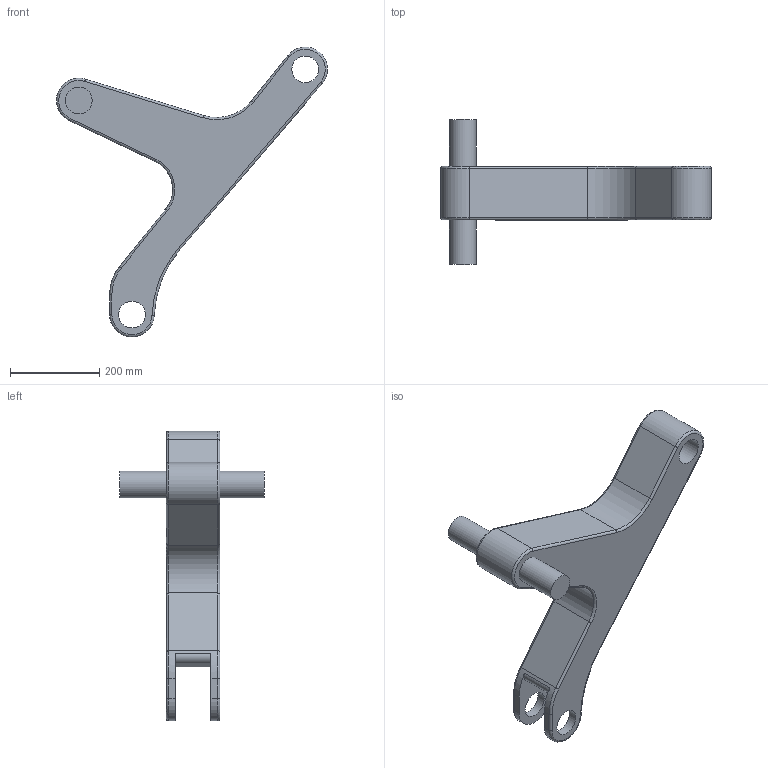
import cadquery as cq
import math

BOSS_RADIUS = 50.0
FORK_CENTER = (0.0, 0.0)
PIN_CENTER = (-119.15, 480.0)
EYE_CENTER = (388.5, 549.72)

PLATE_THICKNESS = 120.0
EDGE_FILLET = 5.0

PIN_ARM_TOP_ANGLE = -17.1
PIN_ARM_BOTTOM_ANGLE = -25.4
MAIN_ARM_UPPER_ANGLE = 51.3
MAIN_ARM_LOWER_ANGLE = 49.4
FORK_SIDE_ANGLE = 90.0

FORK_BEND_HEIGHT = 79.7

CROTCH_TOP_RADIUS = 100.0
CROTCH_BOTTOM_RADIUS = 70.0
FORK_OUTER_BEND_RADIUS = 100.0
FORK_INNER_BEND_RADIUS = 240.0

BORE_DIAMETER = 60.0
PIN_DIAMETER = 60.0
PIN_FRONT_REACH = 100.0
PIN_BACK_REACH = 105.0

SLOT_WIDTH = 80.0
SLOT_END_RADIUS = 80.0
WEB_LEFT_FILLET = 15.0
WEB_RIGHT_FILLET = 30.0


def heading(angle):
    """Unit vector at an angle in degrees from +X."""
    return math.cos(math.radians(angle)), math.sin(math.radians(angle))


def offset(point, direction, distance):
    return point[0] + direction[0] * distance, point[1] + direction[1] * distance


def boss_tangent(center, angle, side):
    """Point where a line at this heading touches a boss; side +1 is its left, -1 its right."""
    return offset(center, heading(angle + 90), side * BOSS_RADIUS)


def bend(point_a, angle_a, point_b, angle_b, radius):
    """Start, middle and end of the arc that rounds the corner of two lines.

    Each line is a point and its heading in the direction of travel.
    """
    dir_a = heading(angle_a)
    dir_b = heading(angle_b)
    cross = dir_a[0] * dir_b[1] - dir_a[1] * dir_b[0]
    gap = (point_b[0] - point_a[0], point_b[1] - point_a[1])
    corner = offset(point_a, dir_a, (gap[0] * dir_b[1] - gap[1] * dir_b[0]) / cross)
    half_turn = math.radians(abs(angle_b - angle_a)) / 2
    setback = radius * math.tan(half_turn)
    sagitta = radius / math.cos(half_turn) - radius
    inward = heading((angle_a + angle_b) / 2 + math.copysign(90, cross))
    return offset(corner, dir_a, -setback), offset(corner, inward, sagitta), offset(corner, dir_b, setback)


def boss_blend(line_point, line_angle, boss_center, radius):
    """Start, middle and end of the arc from a line to the outside of a boss, tangent to both.

    The line heads up and to the right, and the arc curves away on its right side.
    """
    along = heading(line_angle)
    right = heading(line_angle - 90)
    gap = (line_point[0] - boss_center[0], line_point[1] - boss_center[1])
    across_reach = gap[0] * right[0] + gap[1] * right[1] + radius
    along_reach = math.sqrt((BOSS_RADIUS + radius) ** 2 - across_reach**2)
    arc_center = offset(offset(boss_center, right, across_reach), along, along_reach)
    line_end_angle = line_angle + 90
    boss_end_angle = math.degrees(
        math.atan2(arc_center[1] - boss_center[1], arc_center[0] - boss_center[0])
    ) + 180
    angles = (line_end_angle, (line_end_angle + boss_end_angle) / 2, boss_end_angle)
    return [offset(arc_center, heading(angle), radius) for angle in angles]


def plate_outline():
    """Closed Y-shaped outline, clockwise from the left side of the fork boss."""
    fork_left = boss_tangent(FORK_CENTER, FORK_SIDE_ANGLE, 1)
    pin_bottom = boss_tangent(PIN_CENTER, PIN_ARM_BOTTOM_ANGLE, -1)
    pin_top = boss_tangent(PIN_CENTER, PIN_ARM_TOP_ANGLE, 1)
    eye_left = boss_tangent(EYE_CENTER, MAIN_ARM_UPPER_ANGLE, 1)
    eye_right = boss_tangent(EYE_CENTER, MAIN_ARM_LOWER_ANGLE, -1)
    fork_bend_corner = offset(fork_left, heading(FORK_SIDE_ANGLE), FORK_BEND_HEIGHT)

    fork_outer = bend(
        fork_left, FORK_SIDE_ANGLE, fork_bend_corner, MAIN_ARM_UPPER_ANGLE, FORK_OUTER_BEND_RADIUS
    )
    crotch_bottom = bend(
        fork_bend_corner, MAIN_ARM_UPPER_ANGLE,
        pin_bottom, PIN_ARM_BOTTOM_ANGLE + 180, CROTCH_BOTTOM_RADIUS,
    )
    crotch_top = bend(
        pin_top, PIN_ARM_TOP_ANGLE, eye_left, MAIN_ARM_UPPER_ANGLE, CROTCH_TOP_RADIUS
    )
    fork_inner = boss_blend(eye_right, MAIN_ARM_LOWER_ANGLE, FORK_CENTER, FORK_INNER_BEND_RADIUS)
    pin_tip = offset(PIN_CENTER, heading(180), BOSS_RADIUS)
    eye_tip = offset(EYE_CENTER, heading(MAIN_ARM_UPPER_ANGLE), BOSS_RADIUS)
    fork_tip = offset(FORK_CENTER, heading(-FORK_SIDE_ANGLE), BOSS_RADIUS)

    return (
        cq.Workplane("XZ")
        .moveTo(*fork_left)
        .lineTo(*fork_outer[0])
        .threePointArc(*fork_outer[1:])
        .lineTo(*crotch_bottom[0])
        .threePointArc(*crotch_bottom[1:])
        .lineTo(*pin_bottom)
        .threePointArc(pin_tip, pin_top)
        .lineTo(*crotch_top[0])
        .threePointArc(*crotch_top[1:])
        .lineTo(*eye_left)
        .threePointArc(eye_tip, eye_right)
        .lineTo(*fork_inner[0])
        .threePointArc(*fork_inner[1:])
        .threePointArc(fork_tip, fork_left)
        .close()
    )


def make_plate():
    plate = plate_outline().extrude(PLATE_THICKNESS / 2, both=True)
    return plate.faces("<Y or >Y").edges().fillet(EDGE_FILLET)


def cylinder_along_y(center, diameter, y_start, y_end):
    profile = cq.Workplane("XZ", origin=(0, y_start, 0)).center(*center).circle(diameter / 2)
    return profile.extrude(y_start - y_end)


def cut_fork_slot(plate):
    """Open the slot between the two cheeks of the fork, leaving a web with a curved, rounded end.

    The core of the plate, as thick as the slot is wide, is swapped for one that stops short of
    the fork pivot.
    """
    core = plate_outline().extrude(SLOT_WIDTH / 2, both=True)
    clearance = cylinder_along_y(FORK_CENTER, 2 * SLOT_END_RADIUS, -SLOT_WIDTH / 2, SLOT_WIDTH / 2)
    web = core.cut(clearance)
    web = round_web_edge(web, -1, WEB_LEFT_FILLET)
    web = round_web_edge(web, 1, WEB_RIGHT_FILLET)
    return plate.cut(core).union(web)


def round_web_edge(web, side, radius):
    """Round the edge at one side of the web end; side -1 is left, +1 is right."""
    near_edge = (FORK_CENTER[0] + side * BOSS_RADIUS, 0, FORK_CENTER[1] + BOSS_RADIUS)
    return web.edges("|Y").edges(cq.NearestToPointSelector(near_edge)).fillet(radius)


def cut_bores(plate):
    for center in (FORK_CENTER, EYE_CENTER):
        plate = plate.cut(
            cylinder_along_y(center, BORE_DIAMETER, -PLATE_THICKNESS / 2, PLATE_THICKNESS / 2)
        )
    return plate


def add_pin(plate):
    pin_front = -PLATE_THICKNESS / 2 - PIN_FRONT_REACH
    pin_back = PLATE_THICKNESS / 2 + PIN_BACK_REACH
    return plate.union(cylinder_along_y(PIN_CENTER, PIN_DIAMETER, pin_front, pin_back))


result = add_pin(cut_bores(cut_fork_slot(make_plate())))